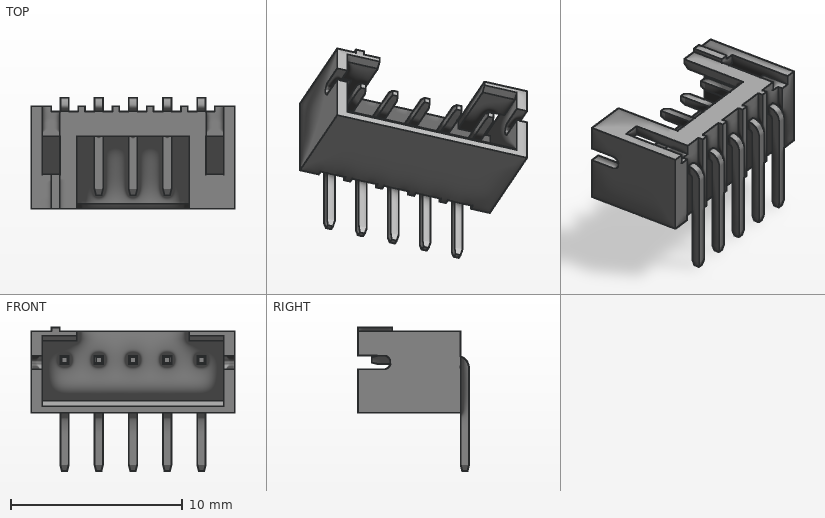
import cadquery as cq
import math


pin_count = 5
pin_pitch = 2.0
pin_width = 0.5
pin_top_drop = 1.43
pin_setback = 0.8
leg_length = 3.4
tip_length = 0.37
tip_width = 0.32
bend_inner_radius = 0.25
bend_outer_radius = bend_inner_radius + pin_width

width = 11.9
depth = 6.0
height = 4.77
side_wall = 0.64
roof = 0.57
floor = 0.7
cavity_depth = 4.25
lip_chamfer = 0.31
half_width = width / 2
cavity_half_width = half_width - side_wall
ceiling_z = height - roof

window_width = 6.57
roof_slot_inner_x = 4.27
roof_slot_front_y = 2.01

key_width = 0.5
key_height = 0.23

notch_width = 0.8
notch_depth = 1.9

recess_width = 9.54
recess_depth = 0.31
rib_width = 0.4


def block(x_min, x_max, y_min, y_max, z_min, z_max):
    """Box given by its limits along each axis."""
    size = (x_max - x_min, y_max - y_min, z_max - z_min)
    return cq.Workplane("XY").box(*size, centered=False).translate((x_min, y_min, z_min))


def side_prism(outline, half_length):
    """Extrude a closed outline drawn in the YZ plane equally to both sides of X = 0."""
    return outline.extrude(half_length, both=True)


def make_cavity():
    """Mating cavity whose floor and ceiling are chamfered at the mouth."""
    outline = (
        cq.Workplane("YZ")
        .moveTo(0, floor - lip_chamfer)
        .lineTo(lip_chamfer, floor)
        .lineTo(cavity_depth, floor)
        .lineTo(cavity_depth, ceiling_z)
        .lineTo(lip_chamfer, ceiling_z)
        .lineTo(0, ceiling_z + lip_chamfer)
        .close()
    )
    return side_prism(outline, cavity_half_width)


def make_side_notches():
    """Round-ended notch running through both side walls from the mating face."""
    radius = notch_width / 2
    top_z = height - pin_top_drop
    bottom_z = top_z - notch_width
    outline = (
        cq.Workplane("YZ")
        .moveTo(0, bottom_z)
        .lineTo(notch_depth - radius, bottom_z)
        .threePointArc((notch_depth, bottom_z + radius), (notch_depth - radius, top_z))
        .lineTo(0, top_z)
        .close()
    )
    return side_prism(outline, half_width)


def make_rear_recess():
    """Material removed from the rear face, leaving a rib between neighbouring pins."""
    recess = block(-recess_width / 2, recess_width / 2, depth - recess_depth, depth, 0, height)
    for gap in range(pin_count - 1):
        rib_x = (gap - (pin_count - 2) / 2) * pin_pitch
        rib = block(
            rib_x - rib_width / 2, rib_x + rib_width / 2,
            depth - recess_depth, depth, 0, height,
        )
        recess = recess.cut(rib)
    return recess


def make_housing():
    housing = block(-half_width, half_width, 0, depth, 0, height)
    housing = housing.cut(make_cavity())

    window = block(-window_width / 2, window_width / 2, 0, cavity_depth, ceiling_z, height)
    housing = housing.cut(window)

    roof_slot = block(
        roof_slot_inner_x, cavity_half_width, roof_slot_front_y, depth, ceiling_z, height
    )
    housing = housing.cut(roof_slot).cut(roof_slot.mirror("YZ"))

    housing = housing.cut(make_side_notches()).cut(make_rear_recess())

    key = block(
        -roof_slot_inner_x - key_width, -roof_slot_inner_x,
        0, roof_slot_front_y, height, height + key_height,
    )
    return housing.union(key)


def make_tip():
    """Square pyramid frustum on the XY plane, narrowing upwards."""
    return (
        cq.Workplane("XY")
        .rect(pin_width, pin_width)
        .workplane(offset=tip_length)
        .rect(tip_width, tip_width)
        .loft(combine=True, ruled=True)
    )


def make_pin():
    """Square pin bent downwards behind the housing, tapered at both ends."""
    top_z = height - pin_top_drop
    under_z = top_z - pin_width
    outer_y = depth + pin_width
    front_y = pin_setback + tip_length
    bottom_z = tip_length - leg_length
    bend_y = outer_y - bend_outer_radius
    bend_z = top_z - bend_outer_radius
    diagonal = math.sqrt(0.5)
    outer_mid = bend_outer_radius * diagonal
    inner_mid = bend_inner_radius * diagonal
    outline = (
        cq.Workplane("YZ")
        .moveTo(front_y, top_z)
        .lineTo(bend_y, top_z)
        .threePointArc((bend_y + outer_mid, bend_z + outer_mid), (outer_y, bend_z))
        .lineTo(outer_y, bottom_z)
        .lineTo(depth, bottom_z)
        .lineTo(depth, bend_z)
        .threePointArc((bend_y + inner_mid, bend_z + inner_mid), (bend_y, under_z))
        .lineTo(front_y, under_z)
        .close()
    )
    shank = side_prism(outline, pin_width / 2)

    front_tip = make_tip().rotate((0, 0, 0), (1, 0, 0), 90)
    front_tip = front_tip.translate((0, front_y, top_z - pin_width / 2))
    leg_tip = make_tip().mirror("XY")
    leg_tip = leg_tip.translate((0, depth + pin_width / 2, bottom_z))
    return shank.union(front_tip).union(leg_tip)


result = make_housing()
pin = make_pin()
for index in range(pin_count):
    pin_x = (index - (pin_count - 1) / 2) * pin_pitch
    result = result.union(pin.translate((pin_x, 0, 0)))